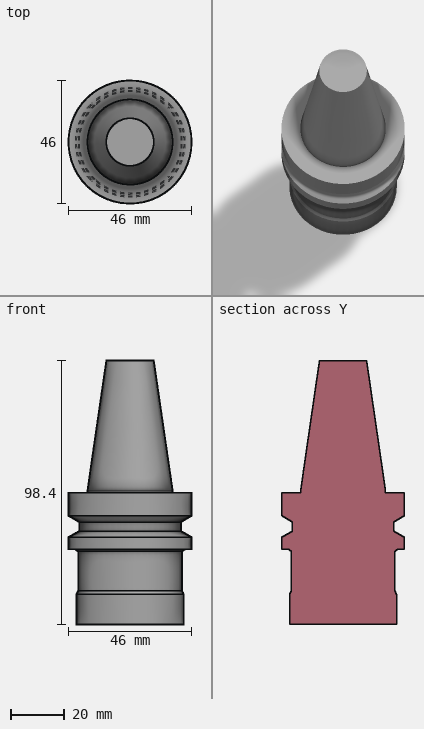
import cadquery as cq

taper_tip_diameter = 17.7
taper_gauge_diameter = 31.8
flange_diameter = 46.0
groove_diameter = 38.0
neck_diameter = 38.8
nose_diameter = 40.0

nose_top = 11.2
neck_bottom = 12.6
lower_flange_bottom = 28.0
lower_flange_top = 32.6
groove_bottom = 34.8
groove_top = 38.2
upper_flange_bottom = 40.5
flange_face = 49.2
taper_base = 50.0
total_height = 98.4

flare_width = 1.1
flare_height = 0.8

profile = [
    (0, 0),
    (nose_diameter / 2, 0),
    (nose_diameter / 2, nose_top),
    (neck_diameter / 2, neck_bottom),
    (neck_diameter / 2, lower_flange_bottom - flare_height),
    (neck_diameter / 2 + flare_width, lower_flange_bottom),
    (flange_diameter / 2, lower_flange_bottom),
    (flange_diameter / 2, lower_flange_top),
    (groove_diameter / 2, groove_bottom),
    (groove_diameter / 2, groove_top),
    (flange_diameter / 2, upper_flange_bottom),
    (flange_diameter / 2, flange_face),
    (taper_gauge_diameter / 2, flange_face),
    (taper_gauge_diameter / 2, taper_base),
    (taper_tip_diameter / 2, total_height),
    (0, total_height),
]

result = cq.Workplane("XZ").polyline(profile).close().revolve(360, (0, 0, 0), (0, 1, 0))